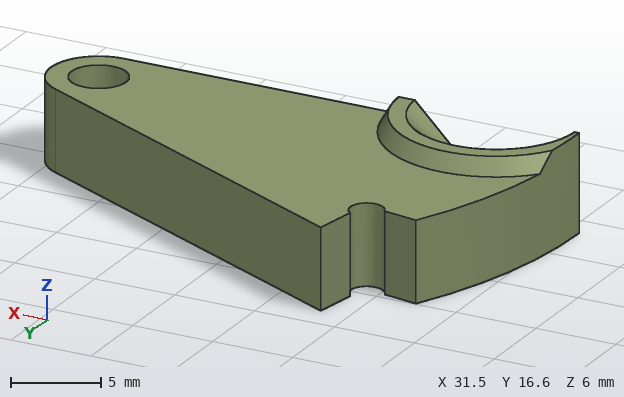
import cadquery as cq
import math

overall_length = 31.5
overall_width = 16.63
overall_height = 6.0
boss_height = 1.0
plate_thickness = overall_height - boss_height

pivot_radius = 3.0
pivot_hole_diameter = 3.4

edge_y = -pivot_radius
rim_radius = overall_length - pivot_radius

tip_x = -21.05
tip_y = overall_width + edge_y
notch_tilt = math.radians(9.8)
notch_depth = 4.03
relief_radius = 1.0
relief_inset = 0.47

seat_x = -23.2
seat_offset = 0.2
seat_y = edge_y - seat_offset
seat_radius = 5.0
seat_depth = seat_radius
boss_top_radius = 6.0
boss_taper = math.radians(30)
boss_base_radius = boss_top_radius + boss_height * math.tan(boss_taper)

floor_x, floor_y = -math.cos(notch_tilt), math.sin(notch_tilt)
wall_x, wall_y = math.sin(notch_tilt), math.cos(notch_tilt)
corner_x = tip_x - notch_depth * wall_x
corner_y = tip_y - notch_depth * wall_y


def rim_point(angle):
    """Point on the rim, with the angle measured from the straight edge."""
    return (-rim_radius * math.cos(angle), edge_y + rim_radius * math.sin(angle))


def notch_rim_angle():
    """Rim angle at which the notch floor meets the rim."""
    rise = corner_y - edge_y
    along = corner_x * floor_x + rise * floor_y
    length = -along + math.sqrt(along**2 - corner_x**2 - rise**2 + rim_radius**2)
    return math.atan2(rise + length * floor_y, -corner_x - length * floor_x)


def make_outline(height):
    """Sector outline with a rounded pivot end, extruded to the given height."""
    tip_distance = math.hypot(tip_x, tip_y)
    tangent_angle = math.atan2(tip_y, tip_x) - math.acos(pivot_radius / tip_distance)
    tangent_point = (pivot_radius * math.cos(tangent_angle), pivot_radius * math.sin(tangent_angle))
    rim_end = notch_rim_angle()
    return (
        cq.Workplane("XY")
        .moveTo(0, edge_y)
        .lineTo(-rim_radius, edge_y)
        .threePointArc(rim_point(rim_end / 2), rim_point(rim_end))
        .lineTo(corner_x, corner_y)
        .lineTo(tip_x, tip_y)
        .lineTo(*tangent_point)
        .threePointArc((pivot_radius, 0), (0, edge_y))
        .close()
        .extrude(height)
    )


def make_cone(bottom_radius, top_radius, height):
    """Cone on the seat axis whose top is level with the boss top."""
    base = cq.Vector(seat_x, seat_y, overall_height - height)
    return cq.Workplane(cq.Solid.makeCone(bottom_radius, top_radius, height, base))


plate = make_outline(plate_thickness)
boss = make_cone(boss_base_radius, boss_top_radius, boss_height).intersect(make_outline(overall_height))
seat = make_cone(0, seat_radius, seat_depth)

pivot_hole = cq.Workplane("XY").circle(pivot_hole_diameter / 2).extrude(plate_thickness)

relief_x = corner_x + relief_inset * (floor_x + wall_x)
relief_y = corner_y + relief_inset * (floor_y + wall_y)
notch_relief = (
    cq.Workplane("XY").center(relief_x, relief_y).circle(relief_radius).extrude(plate_thickness)
)

result = plate.union(boss).cut(seat).cut(pivot_hole).cut(notch_relief)